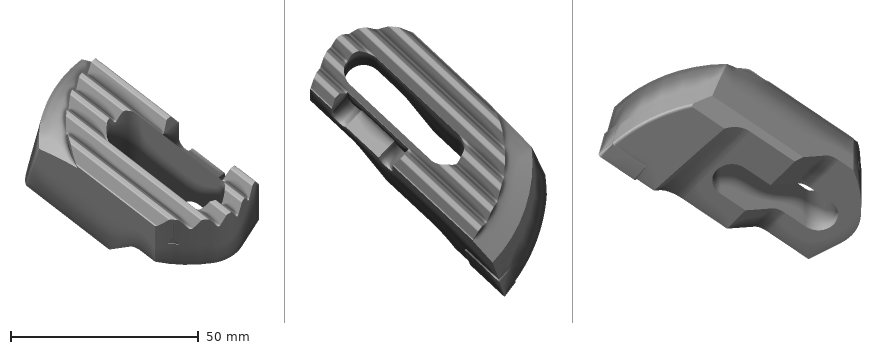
import cadquery as cq
import math


tooth_count = 5
tooth_pitch = 6.0
tooth_depth = 3.65
crest_width = 1.6
flank_angle = 62
crest_radius = 0.5

jaw_width = tooth_count * tooth_pitch
jaw_height = 35.1
root_height = jaw_height - tooth_depth
stock_start = -3.8
stock_length = 83.6
bottom_slope = 6.2
bottom_lift = 0.3
side_chamfer_height = 7.15
middle_step_height = 5.5
tail_step_height = 16.7
heel_x = 18.4
tail_ramp_x = 43.9
heel_radius = 11.4
tail_radius = 6.1

insert_protrusion = 0.45
rake_face_y = jaw_width + insert_protrusion
axis_x = 44.7
collar_radius = 32.45
shoulder_radius = 39.75
collar_bottom = 30.7
shoulder_angle = 30
nose_draft = 10
nose_fillet = 0.75

tail_arc_radius = 35.5
tail_flat_x = 72.05
tail_flat_angle = 19
tail_fillet = 10.8

slot_length = 40.35
slot_width = 10.6
slot_x = 49.85
slot_y = 17.0

pocket_x = 53.0
pocket_floor = 25.1
pocket_front_y = 23.8
trough_radius = 2.6
trough_spacing = 17.3
pocket_flare = 0.75

arrow_x = 66.95
arrow_tip = 27.5
arrow_base = 25.1
arrow_width = 2.3
arrow_line_width = 0.3
arrow_depth = 0.115

insert_edge = 12.9
insert_angle = 80
insert_thickness = 4.9
insert_relief = 7
insert_corner_radius = 0.75


def tan(degrees):
    return math.tan(math.radians(degrees))


def serrated_bar():
    """Cross-section in YZ with the teeth over a full-round root, drawn along X."""
    slope = tan(bottom_slope)
    chamfer_y = (side_chamfer_height - bottom_lift - jaw_width * slope) / (1 - slope)

    sine = math.sin(math.radians(flank_angle))
    cosine = math.cos(math.radians(flank_angle))
    crest_half = crest_width / 2
    gap_half = tooth_pitch / 2 - crest_half - tooth_depth / tan(flank_angle)
    root_radius = gap_half / (sine - (1 - cosine) / tan(flank_angle))
    root_half = root_radius * sine
    flank_foot = root_height + root_radius * (1 - cosine)

    middle_sine = math.sin(math.radians(flank_angle / 2))
    middle_cosine = math.cos(math.radians(flank_angle / 2))
    half_arc_y = root_radius * middle_sine
    half_arc_z = root_height + root_radius * (1 - middle_cosine)

    profile = (
        cq.Workplane("YZ", origin=(stock_start, 0, 0))
        .moveTo(jaw_width, bottom_lift)
        .lineTo(chamfer_y, side_chamfer_height - chamfer_y)
        .lineTo(0, side_chamfer_height)
        .lineTo(0, root_height)
        .threePointArc((half_arc_y, half_arc_z), (root_half, flank_foot))
    )
    for i in range(tooth_count):
        middle = (i + 0.5) * tooth_pitch
        next_root = (i + 1) * tooth_pitch
        profile = (
            profile.lineTo(middle - crest_half, jaw_height)
            .lineTo(middle + crest_half, jaw_height)
            .lineTo(next_root - root_half, flank_foot)
        )
        if i < tooth_count - 1:
            profile = profile.threePointArc((next_root, root_height), (next_root + root_half, flank_foot))
    profile = profile.threePointArc((jaw_width - half_arc_y, half_arc_z), (jaw_width, root_height))
    bar = profile.close().extrude(stock_length)

    margin = 0.1
    stock_end = stock_start + stock_length
    crests = cq.selectors.BoxSelector(
        (stock_start, 0, jaw_height - margin), (stock_end, jaw_width, jaw_height + margin)
    )
    return bar.edges("|X").edges(crests).fillet(crest_radius)


def stepped_side():
    """Side outline in XZ with the two 45 degree ramps, drawn across Y."""
    stock_end = stock_start + stock_length
    heel_top_x = heel_x + middle_step_height
    tail_top_x = tail_ramp_x + tail_step_height - middle_step_height
    side = (
        cq.Workplane("XZ")
        .moveTo(stock_start, 0)
        .lineTo(heel_x, 0)
        .lineTo(heel_top_x, middle_step_height)
        .lineTo(tail_ramp_x, middle_step_height)
        .lineTo(tail_top_x, tail_step_height)
        .lineTo(stock_end, tail_step_height)
        .lineTo(stock_end, jaw_height)
        .lineTo(stock_start, jaw_height)
        .close()
        .extrude(-jaw_width)
    )
    heel_corner = cq.selectors.NearestToPointSelector((heel_top_x, jaw_width / 2, middle_step_height))
    tail_corner = cq.selectors.NearestToPointSelector((tail_top_x, jaw_width / 2, tail_step_height))
    side = side.edges("|Y").edges(heel_corner).fillet(heel_radius)
    return side.edges("|Y").edges(tail_corner).fillet(tail_radius)


def tail_block():
    """Everything behind the boring axis: plan outline with the arc and the slanted flat."""
    slant = tan(tail_flat_angle)

    def arc_x(y):
        return axis_x + math.sqrt(tail_arc_radius**2 - (rake_face_y - y) ** 2)

    flat_x0 = tail_flat_x + slant * jaw_width
    run = flat_x0 - slant * rake_face_y - axis_x
    a = 1 + slant**2
    b = slant * run
    c = run**2 - tail_arc_radius**2
    corner_y = rake_face_y - (math.sqrt(b**2 - a * c) - b) / a
    block = (
        cq.Workplane("XY")
        .moveTo(axis_x, 0)
        .lineTo(arc_x(0), 0)
        .threePointArc((arc_x(corner_y / 2), corner_y / 2), (arc_x(corner_y), corner_y))
        .lineTo(tail_flat_x, jaw_width)
        .lineTo(axis_x, jaw_width)
        .close()
        .extrude(jaw_height)
    )
    corner = cq.selectors.NearestToPointSelector((arc_x(corner_y), corner_y, jaw_height / 2))
    return block.edges("|Z").edges(corner).fillet(tail_fillet)


def nose_block():
    """Everything ahead of the boring axis: collar, 30 degree shoulder and drafted cone."""
    shoulder_bottom = collar_bottom - (shoulder_radius - collar_radius) * tan(shoulder_angle)
    base_radius = shoulder_radius + shoulder_bottom * tan(nose_draft)
    turned = (
        cq.Workplane("XZ")
        .polyline([
            (0, 0),
            (base_radius, 0),
            (shoulder_radius, shoulder_bottom),
            (collar_radius, collar_bottom),
            (collar_radius, jaw_height),
            (0, jaw_height),
        ])
        .close()
        .revolve(360, (0, 0), (0, 1))
        .translate((axis_x, rake_face_y, 0))
    )
    ahead_of_axis = cq.Workplane("XY").box(axis_x * 2, jaw_width, jaw_height, centered=False)
    return turned.intersect(ahead_of_axis.translate((-axis_x, 0, 0)))


def clamping_slot():
    return (
        cq.Workplane("XY").center(slot_x, slot_y).slot2D(slot_length, slot_width).extrude(jaw_height)
    )


def key_pocket():
    """Flared opening over upright walls, with a trough along each end of the floor."""
    wall = trough_spacing / 2 + trough_radius
    top = wall + pocket_flare
    depth = jaw_width - pocket_front_y
    plane = cq.Workplane("XZ", origin=(pocket_x, pocket_front_y, 0))
    opening = (
        plane.polyline([
            (-wall, pocket_floor),
            (wall, pocket_floor),
            (wall, root_height),
            (top, jaw_height),
            (-top, jaw_height),
            (-wall, root_height),
        ])
        .close()
        .extrude(-depth)
    )
    troughs = (
        plane.pushPoints([(side * trough_spacing / 2, pocket_floor) for side in (-1, 1)])
        .circle(trough_radius)
        .extrude(-depth)
    )
    return opening.union(troughs)


def arrow_mark(tail):
    """Shallow arrow that follows the tail surface."""
    line_half = arrow_line_width / 2
    head_half = arrow_width / 2
    prism = (
        cq.Workplane("XZ")
        .polyline([
            (arrow_x - line_half, jaw_height),
            (arrow_x - line_half, arrow_tip),
            (arrow_x - head_half, arrow_base),
            (arrow_x + head_half, arrow_base),
            (arrow_x + line_half, arrow_tip),
            (arrow_x + line_half, jaw_height),
        ])
        .close()
        .extrude(-tooth_pitch)
    )
    return prism.cut(tail.translate((-arrow_depth, arrow_depth, 0)))


def make_insert():
    """Rhombic insert: rake face at the rear, flanks relieved towards the front."""
    lean = tan(90 - insert_angle)
    rise = insert_edge * math.sin(math.radians(insert_angle))
    corner_x = insert_corner_radius * (1 - 1 / tan(insert_angle / 2))
    rake_face = (
        cq.Sketch()
        .polygon([
            (corner_x, 0),
            (corner_x + insert_edge, 0),
            (corner_x + insert_edge + rise * lean, rise),
            (corner_x + rise * lean, rise),
            (corner_x, 0),
        ])
        .vertices()
        .fillet(insert_corner_radius)
    )
    return (
        cq.Workplane("XZ", origin=(0, rake_face_y, 0))
        .placeSketch(rake_face)
        .extrude(insert_thickness, taper=insert_relief)
    )


def make_jaw(insert):
    bar = serrated_bar()
    tail = tail_block()
    nose = nose_block().intersect(bar)
    nose_middle_y = jaw_width / 2
    nose_bottom_z = bottom_lift + (jaw_width - nose_middle_y) * tan(bottom_slope)
    nose_edge = cq.selectors.NearestToPointSelector((0, nose_middle_y, nose_bottom_z))
    nose = nose.edges(nose_edge).fillet(nose_fillet)
    jaw = nose.union(tail.intersect(bar)).intersect(stepped_side())
    jaw = jaw.cut(clamping_slot()).cut(key_pocket()).cut(arrow_mark(tail))
    return jaw.cut(insert)


insert = make_insert()
jaw = make_jaw(insert)
result = cq.Compound.makeCompound([jaw.val(), insert.val()])